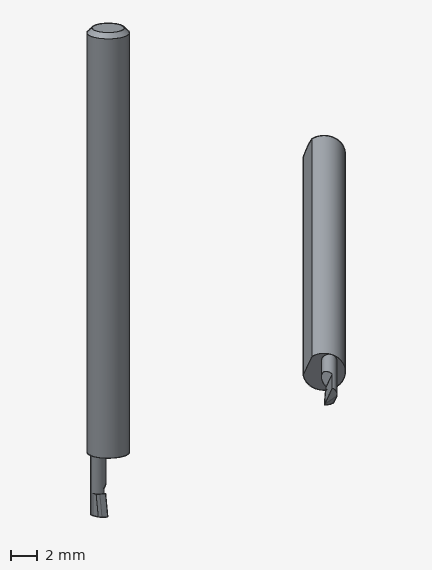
import cadquery as cq
import math


overall_length = 38.1
shank_diameter = 3.175
shank_radius = shank_diameter / 2
shank_depth = 2.92
shank_chamfer = 0.38
neck_length = 5.08

neck_diameter = 1.17
neck_radius = neck_diameter / 2
neck_x = -shank_radius + neck_radius

rake_height = 2.17
rake_ramp_angle = 45.0

head_height = 1.79
edge_x = -0.03
edge_lean = 7.2
edge_clearance_x = 0.23
edge_clearance_y = 0.4
heel_x = 0.43
nose_radius = 0.12
end_edge_angle = 3.0
end_relief_angle = 5.0


def make_shank():
    """Round shank, chamfered at the top, with a flat along its +Y side."""
    shank = (
        cq.Workplane("XY", origin=(0, 0, neck_length))
        .circle(shank_radius)
        .extrude(overall_length - neck_length)
        .faces(">Z")
        .chamfer(shank_chamfer)
    )
    envelope = (
        cq.Workplane("XY")
        .box(shank_diameter, shank_depth, overall_length, centered=(True, False, False))
        .translate((0, -shank_radius, 0))
    )
    return shank.intersect(envelope)


def make_neck():
    """Round neck running the full distance from the shank to the tip."""
    return cq.Workplane("XY").center(neck_x, 0).circle(neck_radius).extrude(neck_length)


def make_rake_cut():
    """Space in front of the rake face, closed at the top by a sloping ramp."""
    ramp_rise = shank_radius / math.tan(math.radians(rake_ramp_angle))
    return (
        cq.Workplane("YZ")
        .polyline([
            (0, 0),
            (shank_radius, 0),
            (shank_radius, rake_height + ramp_rise),
            (0, rake_height),
        ])
        .close()
        .extrude(shank_radius, both=True)
    )


def head_section(tip_edge_x):
    """Corners of the head in plan, from the neck centre round to the side edge."""
    return [
        (neck_x, 0),
        (neck_x, -neck_radius),
        (tip_edge_x - heel_x, -neck_radius),
        (tip_edge_x - edge_clearance_x, -edge_clearance_y),
        (tip_edge_x, 0),
    ]


def make_head():
    """Cutting head whose facets all lean back with the side cutting edge."""
    lean = head_height * math.tan(math.radians(edge_lean))
    return (
        cq.Workplane("XY")
        .polyline(head_section(edge_x))
        .close()
        .workplane(offset=head_height)
        .polyline(head_section(edge_x - lean))
        .close()
        .loft(ruled=True)
    )


def make_tip_envelope():
    """Space the neck and head may fill: slanted end edge and rounded nose."""
    nose_x = edge_x - nose_radius
    end_rise = (nose_x + shank_radius) * math.tan(math.radians(end_edge_angle))
    outline = (
        cq.Workplane("XZ")
        .moveTo(-shank_radius, end_rise)
        .lineTo(nose_x, 0)
        .radiusArc((edge_x, nose_radius), -nose_radius)
        .lineTo(edge_x, neck_length)
        .lineTo(-shank_radius, neck_length)
        .close()
    )
    return outline.extrude(shank_radius, both=True)


def make_end_relief():
    """Wedge that makes the end face rise away from the end cutting edge."""
    relief_rise = shank_radius * math.tan(math.radians(end_relief_angle))
    return (
        cq.Workplane("YZ")
        .polyline([(0, 0), (-shank_radius, relief_rise), (-shank_radius, 0)])
        .close()
        .extrude(shank_radius, both=True)
    )


tip = make_neck().cut(make_rake_cut()).union(make_head())
tip = tip.intersect(make_tip_envelope()).cut(make_end_relief())
result = make_shank().union(tip)